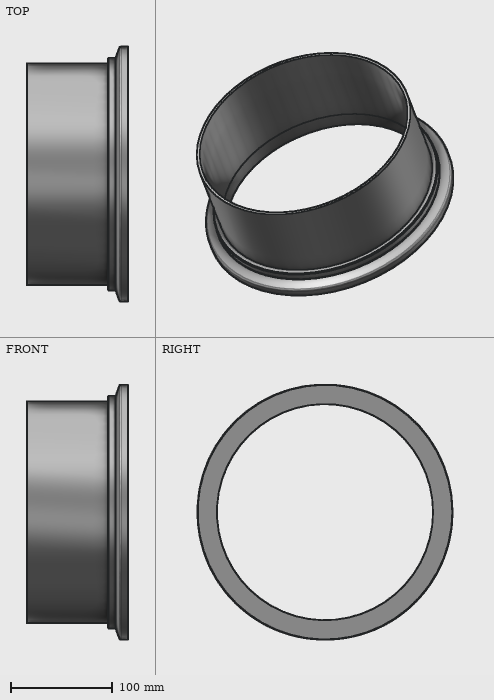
import math

import cadquery as cq

bore_radius = 213.0 / 2
pipe_radius = 219.1 / 2
collar_radius = 230.0 / 2
rim_radius = 252.0 / 2

total_length = 100.0
flange_width = 20.0
socket_depth = 5.0
collar_width = 7.6
cone_angle = 20.0
cone_width = (rim_radius - collar_radius) * math.tan(math.radians(cone_angle))
flange_start = total_length - flange_width
pipe_length = flange_start + socket_depth
collar_end = flange_start + collar_width
rim_start = collar_end + cone_width

collar_chamfer = 1.0
neck_fillet = 0.5
rim_fillet = 2.5
face_chamfer = 0.5

MATCH_TOLERANCE = 0.01


def pipe_body():
    """Plain tube from the free end to the bottom of the flange socket."""
    return (
        cq.Workplane("YZ")
        .circle(pipe_radius)
        .circle(bore_radius)
        .extrude(pipe_length)
    )


def circular_edge(ring, x, radius):
    """Pick the circular edge that lies at this X and has this radius."""

    def matches(edge):
        same_x = abs(edge.Center().x - x) < MATCH_TOLERANCE
        return same_x and abs(edge.radius() - radius) < MATCH_TOLERANCE

    return ring.edges("%CIRCLE").filter(matches)


def flange_body():
    """Socketed ring with a collar that flares through a cone to the clamping rim."""
    profile = [
        (flange_start, pipe_radius),
        (flange_start, collar_radius - collar_chamfer),
        (flange_start + collar_chamfer, collar_radius),
        (collar_end, collar_radius),
        (rim_start, rim_radius),
        (total_length - face_chamfer, rim_radius),
        (total_length, rim_radius - face_chamfer),
        (total_length, bore_radius),
        (pipe_length, bore_radius),
        (pipe_length, pipe_radius),
    ]
    ring = cq.Workplane("XY").polyline(profile).close().revolve(360, (0, 0, 0), (1, 0, 0))
    ring = circular_edge(ring, collar_end, collar_radius).fillet(neck_fillet)
    return circular_edge(ring, rim_start, rim_radius).fillet(rim_fillet)


pipe = pipe_body()
flange = flange_body()
result = cq.Compound.makeCompound([pipe.val(), flange.val()])